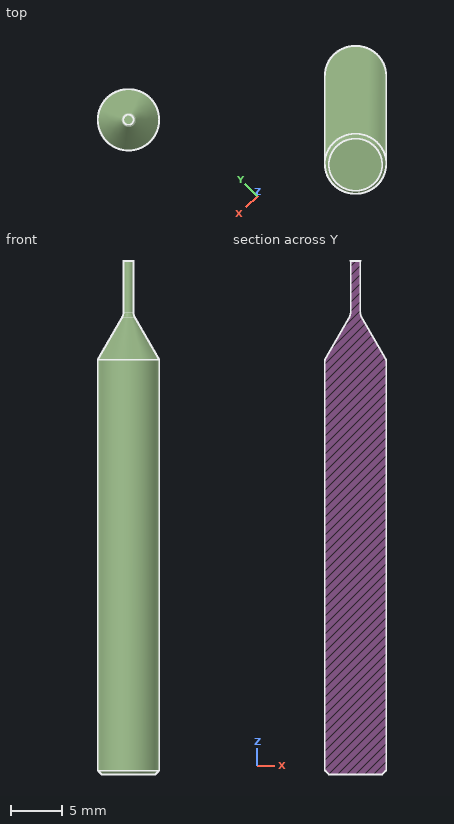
import cadquery as cq
import math

total_length = 50.0
shank_radius = 6.0 / 2
pin_radius = 1.0 / 2

pin_length = 5.0
blend_radius = 1.0
cone_half_angle = math.radians(30)

chamfer = 0.4

bottom_z = -total_length / 2
top_z = bottom_z + total_length
pin_base_z = top_z - pin_length


def blend_point(angle):
    """Point on the concave blend where its tangent makes this angle with the axis."""
    radius = pin_radius + blend_radius * (1 - math.cos(angle))
    return radius, pin_base_z - blend_radius * math.sin(angle)


blend_middle = blend_point(cone_half_angle / 2)
blend_end = blend_point(cone_half_angle)
cone_height = (shank_radius - blend_end[0]) / math.tan(cone_half_angle)
cone_base_z = blend_end[1] - cone_height

result = (
    cq.Workplane("XZ")
    .moveTo(0, top_z)
    .lineTo(pin_radius, top_z)
    .lineTo(pin_radius, pin_base_z)
    .threePointArc(blend_middle, blend_end)
    .lineTo(shank_radius, cone_base_z)
    .lineTo(shank_radius, bottom_z + chamfer)
    .lineTo(shank_radius - chamfer, bottom_z)
    .lineTo(0, bottom_z)
    .close()
    .revolve(360, (0, 0, 0), (0, 1, 0))
)